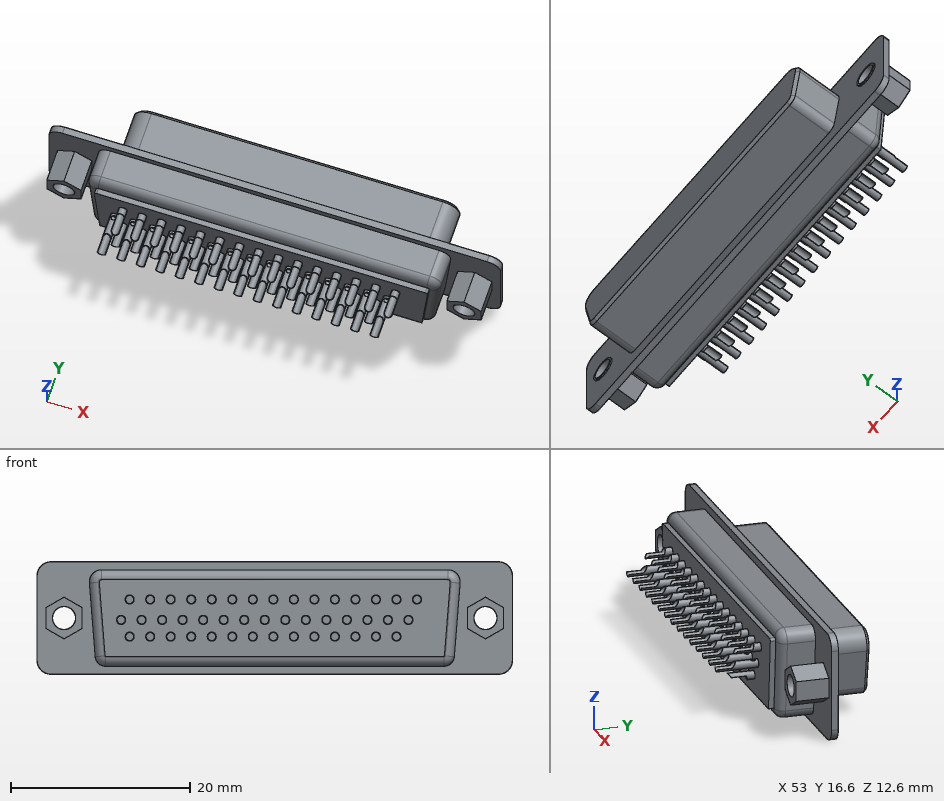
import cadquery as cq
import math


FLANGE_WIDTH = 53.05
FLANGE_HEIGHT = 12.55
FLANGE_THICKNESS = 0.8
FLANGE_CORNER_RADIUS = 1.6

COVER_TOP_HALF_WIDTH = 20.8
COVER_HEIGHT = 10.75
COVER_SIDE_ANGLE = 4.5
COVER_TOP_RADIUS = 1.4
COVER_BOTTOM_RADIUS = 1.15
COVER_DEPTH = 4.3
COVER_EDGE_RADIUS = 1.0

INSULATOR_INSET = 1.1
INSULATOR_PROJECTION = 0.65

SHELL_CENTER_X = 0.55
SHELL_TOP_HALF_WIDTH = 19.5
SHELL_HEIGHT = 7.9
SHELL_SIDE_ANGLE = 10.0
SHELL_TOP_RADIUS = 2.0
SHELL_BOTTOM_RADIUS = 1.05
SHELL_PROJECTION = 5.95
SHELL_EDGE_CHAMFER = 0.35

NUT_SPACING = 47.0
HEX_SIDES = 6
NUT_ACROSS_FLATS = 4.05
HEX_HALF_ANGLE = 180 / HEX_SIDES
NUT_LENGTH = 3.8
NUT_BORE = 2.55
NUT_COLLAR_DIAMETER = 3.1
NUT_COLLAR_PROJECTION = 0.15

LONG_ROW_COUNT = 15
SHORT_ROW_COUNT = 14
LONG_ROW_SPAN = 32.05
PIN_PITCH = LONG_ROW_SPAN / (LONG_ROW_COUNT - 1)
PIN_DIAMETER = 1.0
CUP_BORE = 0.9
CUP_FLOOR_DROP = 0.1
OUTER_CUP_LENGTH = 2.05
MIDDLE_CUP_LENGTH = 1.7
OUTER_PIN_LENGTH = 3.1
MIDDLE_PIN_LENGTH = 4.85
OUTER_SHOULDER_SLOPE = 0.2
OUTER_TIP_SLOPE = 0.3
MIDDLE_SHOULDER_SLOPE = 0.55
OUTER_ROW_Z = 2.05
MIDDLE_ROW_Z = -0.2
OUTER_ROW_START_X = -16.2
MIDDLE_ROW_START_X = -17.15
VENT_DIAMETER = 0.55
VENT_DISTANCE = 0.55

INSULATOR_FACE_Y = -(COVER_DEPTH + INSULATOR_PROJECTION)


def plane_at(y, toward=-1):
    """Plane at the given Y with X to the right; toward = -1 or +1 is the Y direction of extrusion."""
    return cq.Plane(origin=(0, y, 0), xDir=(-toward, 0, 0), normal=(0, toward, 0))


def d_prism(top_half_width, height, side_angle, top_radius, bottom_radius, y, length, toward):
    """Symmetric trapezoid, wider at the top, extruded along Y with its long edges rounded."""
    bottom_half_width = top_half_width - height * math.tan(math.radians(side_angle))
    prism = (
        cq.Workplane(plane_at(y, toward))
        .moveTo(-top_half_width, height / 2)
        .lineTo(top_half_width, height / 2)
        .lineTo(bottom_half_width, -height / 2)
        .lineTo(-bottom_half_width, -height / 2)
        .close()
        .extrude(length)
    )
    prism = prism.edges("|Y").edges(">Z").fillet(top_radius)
    return prism.edges("|Y").edges("<Z").edges("<X or >X").fillet(bottom_radius)


def make_flange():
    return (
        cq.Workplane(plane_at(0, 1))
        .rect(FLANGE_WIDTH, FLANGE_HEIGHT)
        .extrude(FLANGE_THICKNESS)
        .edges("|Y")
        .fillet(FLANGE_CORNER_RADIUS)
    )


def make_cover():
    cover = d_prism(
        COVER_TOP_HALF_WIDTH, COVER_HEIGHT, COVER_SIDE_ANGLE,
        COVER_TOP_RADIUS, COVER_BOTTOM_RADIUS, 0, COVER_DEPTH, -1,
    )
    return cover.faces("<Y").edges().fillet(COVER_EDGE_RADIUS)


def make_insulator():
    angle = math.radians(COVER_SIDE_ANGLE)
    corner_inset = INSULATOR_INSET * (1 / math.cos(angle) + math.tan(angle))
    top_radius = COVER_TOP_RADIUS - INSULATOR_INSET
    bottom_radius = COVER_BOTTOM_RADIUS - INSULATOR_INSET
    return d_prism(
        COVER_TOP_HALF_WIDTH - corner_inset, COVER_HEIGHT - 2 * INSULATOR_INSET, COVER_SIDE_ANGLE,
        top_radius, bottom_radius, 0, -INSULATOR_FACE_Y, -1,
    )


def make_shell():
    shell = d_prism(
        SHELL_TOP_HALF_WIDTH, SHELL_HEIGHT, SHELL_SIDE_ANGLE,
        SHELL_TOP_RADIUS, SHELL_BOTTOM_RADIUS, FLANGE_THICKNESS, SHELL_PROJECTION, 1,
    )
    return shell.faces(">Y").edges().chamfer(SHELL_EDGE_CHAMFER).translate((SHELL_CENTER_X, 0, 0))


def make_nut(x):
    """Nut standing on the flange, with a collar that reaches just past the flange's far side."""
    corner_diameter = NUT_ACROSS_FLATS / math.cos(math.radians(HEX_HALF_ANGLE))
    hexagon = (
        cq.Workplane(plane_at(0))
        .polygon(HEX_SIDES, corner_diameter)
        .extrude(NUT_LENGTH)
        .rotate((0, 0, 0), (0, 1, 0), HEX_HALF_ANGLE)
    )
    collar = (
        cq.Workplane(plane_at(0, 1))
        .circle(NUT_COLLAR_DIAMETER / 2)
        .extrude(FLANGE_THICKNESS + NUT_COLLAR_PROJECTION)
    )
    return hexagon.union(collar).translate((x, 0, 0))


def make_nut_bore(x):
    return (
        cq.Workplane(plane_at(-NUT_LENGTH, 1))
        .circle(NUT_BORE / 2)
        .extrude(NUT_LENGTH + FLANGE_THICKNESS + NUT_COLLAR_PROJECTION)
        .translate((x, 0, 0))
    )


def make_pin(length, cup_length, shoulder_slope, tip_slope, vented):
    """Solder-cup pin along -Y from the insulator face, its cup open toward +Z."""
    radius = PIN_DIAMETER / 2
    floor_z = -CUP_FLOOR_DROP
    shoulder_y = cup_length - length
    pin = cq.Workplane("XZ").circle(radius).circle(CUP_BORE / 2).extrude(length)
    side = (
        cq.Workplane("YZ")
        .moveTo(0, -radius)
        .lineTo(-length, -radius)
        .lineTo(-length + tip_slope, floor_z)
        .lineTo(shoulder_y, floor_z)
        .lineTo(shoulder_y + shoulder_slope, radius)
        .lineTo(0, radius)
        .close()
        .extrude(radius, both=True)
    )
    pin = pin.intersect(side)
    if vented:
        vent = cq.Workplane("XY").center(0, -VENT_DISTANCE).circle(VENT_DIAMETER / 2).extrude(PIN_DIAMETER)
        pin = pin.cut(vent)
    return pin


def pin_row(pin, start_x, z, count):
    places = [(start_x + i * PIN_PITCH, INSULATOR_FACE_Y, z) for i in range(count)]
    return [pin.val().moved(cq.Location(cq.Vector(*place))) for place in places]


outer_pin = make_pin(OUTER_PIN_LENGTH, OUTER_CUP_LENGTH, OUTER_SHOULDER_SLOPE, OUTER_TIP_SLOPE, vented=False)
middle_pin = make_pin(MIDDLE_PIN_LENGTH, MIDDLE_CUP_LENGTH, MIDDLE_SHOULDER_SLOPE, 0, vented=True)
bottom_pin = outer_pin.mirror("XY")

pins = (
    pin_row(outer_pin, OUTER_ROW_START_X, OUTER_ROW_Z, LONG_ROW_COUNT)
    + pin_row(middle_pin, MIDDLE_ROW_START_X, MIDDLE_ROW_Z, LONG_ROW_COUNT)
    + pin_row(bottom_pin, OUTER_ROW_START_X, -OUTER_ROW_Z, SHORT_ROW_COUNT)
)

body = make_flange().union(make_cover()).union(make_insulator()).union(make_shell())
for nut_x in (-NUT_SPACING / 2, NUT_SPACING / 2):
    body = body.union(make_nut(nut_x)).cut(make_nut_bore(nut_x))

result = cq.Workplane(body.val().fuse(*pins))